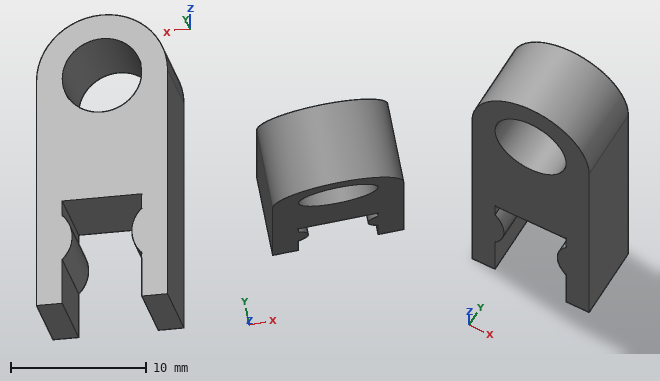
import cadquery as cq

height = 23.33
width = 9.9
thickness = 6.0

end_radius = width / 2
eye_height = height - end_radius
eye_diameter = 6.0

slot_width = 6.0
slot_depth = 8.38
bump_height = 5.4
bump_half_length = 1.82
bump_rise = 0.75


def make_body():
    """Flat link with a full-round top, centred on the XZ plane."""
    return (
        cq.Workplane("XZ")
        .moveTo(-width / 2, 0)
        .lineTo(width / 2, 0)
        .lineTo(width / 2, eye_height)
        .threePointArc((0, height), (-width / 2, eye_height))
        .close()
        .extrude(thickness / 2, both=True)
    )


def make_eye():
    """Through hole concentric with the round top."""
    return (
        cq.Workplane("XZ")
        .center(0, eye_height)
        .circle(eye_diameter / 2)
        .extrude(thickness, both=True)
    )


def make_slot():
    """Slot cutter whose side walls are pinched by two arc-shaped bumps."""
    wall = slot_width / 2
    bump_bottom = bump_height - bump_half_length
    bump_top = bump_height + bump_half_length
    bump_crest = wall - bump_rise
    return (
        cq.Workplane("XZ")
        .moveTo(-wall, 0)
        .lineTo(wall, 0)
        .lineTo(wall, bump_bottom)
        .threePointArc((bump_crest, bump_height), (wall, bump_top))
        .lineTo(wall, slot_depth)
        .lineTo(-wall, slot_depth)
        .lineTo(-wall, bump_top)
        .threePointArc((-bump_crest, bump_height), (-wall, bump_bottom))
        .close()
        .extrude(thickness, both=True)
    )


result = make_body().cut(make_eye()).cut(make_slot())